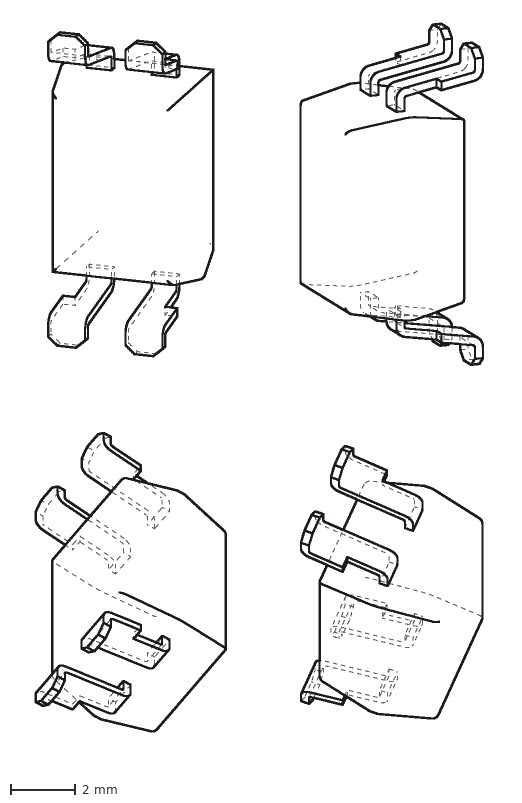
import cadquery as cq
import math

housing_width = 4.6
housing_height = 6.5
band_thickness = 0.27
half_depth = 1.86
draft_angle = 10.0
face_edge_radius = 0.2

overall_height = 10.16
lead_thickness = band_thickness
foot_drop = 2.47
foot_straight = 0.63
bend_inner_radius = 0.08
arm_angle = math.radians(10.0)
lead_spacing = 2.54
foot_width = 1.22
neck_width = 0.82
wide_start_y = -1.21
tip_chamfer_width = 0.3
tip_chamfer_height = 0.26

bend_outer_radius = bend_inner_radius + lead_thickness
neck_back_y = lead_thickness / 2
neck_front_y = -lead_thickness / 2
foot_front_y = neck_front_y - foot_drop
foot_back_y = foot_front_y + lead_thickness
foot_tip_z = overall_height / 2
foot_inner_x = (lead_spacing - foot_width) / 2
foot_outer_x = foot_inner_x + foot_width
neck_outer_x = foot_inner_x + neck_width

foot_bend_y = foot_back_y + bend_inner_radius
foot_bend_z = foot_tip_z - foot_straight
neck_bend_y = neck_front_y - bend_inner_radius
bend_span_y = neck_bend_y - foot_bend_y
bend_radius_sum = bend_inner_radius + bend_outer_radius
neck_bend_z = foot_bend_z - (bend_radius_sum + bend_span_y * math.sin(arm_angle)) / math.cos(arm_angle)


def make_housing():
    body = cq.Workplane("XY").box(housing_width, band_thickness, housing_height)
    for side in (1, -1):
        half = (
            cq.Workplane("XZ", origin=(0, side * band_thickness / 2, 0))
            .rect(housing_width, housing_height)
            .extrude(-side * half_depth, taper=draft_angle)
        )
        body = body.union(half)
    return body.faces("<Y or >Y").edges().fillet(face_edge_radius)


def foot_bend_point(radius, angle):
    """Point (y, z) on the foot bend, with the angle measured from -Y towards -Z."""
    return (foot_bend_y - radius * math.cos(angle), foot_bend_z - radius * math.sin(angle))


def neck_bend_point(radius, angle):
    """Point (y, z) on the neck bend, with the angle measured from +Y towards +Z."""
    return (neck_bend_y + radius * math.cos(angle), neck_bend_z + radius * math.sin(angle))


def make_bent_strip():
    """Full-width strip bent from the neck, along the arm, to the foot."""
    bend_end = math.pi / 2 - arm_angle
    bend_middle = bend_end / 2
    neck_base_z = housing_height / 2
    return (
        cq.Workplane("YZ", origin=(foot_inner_x, 0, 0))
        .moveTo(neck_back_y, neck_base_z)
        .lineTo(*neck_bend_point(bend_outer_radius, 0))
        .threePointArc(
            neck_bend_point(bend_outer_radius, bend_middle),
            neck_bend_point(bend_outer_radius, bend_end),
        )
        .lineTo(*foot_bend_point(bend_inner_radius, bend_end))
        .threePointArc(
            foot_bend_point(bend_inner_radius, bend_middle),
            foot_bend_point(bend_inner_radius, 0),
        )
        .lineTo(foot_back_y, foot_tip_z)
        .lineTo(foot_front_y, foot_tip_z)
        .lineTo(*foot_bend_point(bend_outer_radius, 0))
        .threePointArc(
            foot_bend_point(bend_outer_radius, bend_middle),
            foot_bend_point(bend_outer_radius, bend_end),
        )
        .lineTo(*neck_bend_point(bend_inner_radius, bend_end))
        .threePointArc(
            neck_bend_point(bend_inner_radius, bend_middle),
            neck_bend_point(bend_inner_radius, 0),
        )
        .lineTo(neck_front_y, neck_base_z)
        .close()
        .extrude(foot_width)
    )


def make_neck_notch():
    """Block that narrows the outer side of the lead between the neck and the wide part."""
    return cq.Workplane("XY").box(
        foot_outer_x - neck_outer_x,
        neck_back_y - wide_start_y,
        foot_tip_z,
        centered=False,
    ).translate((neck_outer_x, wide_start_y, 0))


def make_tip_corner(corner_x, inward):
    """Triangular prism that cuts one corner off the foot tip."""
    return (
        cq.Workplane("XZ", origin=(0, foot_back_y, 0))
        .moveTo(corner_x, foot_tip_z)
        .lineTo(corner_x + inward * tip_chamfer_width, foot_tip_z)
        .lineTo(corner_x, foot_tip_z - tip_chamfer_height)
        .close()
        .extrude(lead_thickness)
    )


def make_lead(side_x, side_z):
    """Lead on the given side (+1 or -1) of the housing in X and in Z."""
    lead = (
        make_bent_strip()
        .cut(make_neck_notch())
        .cut(make_tip_corner(foot_inner_x, 1))
        .cut(make_tip_corner(foot_outer_x, -1))
    )
    if side_x < 0:
        lead = lead.mirror("YZ")
    if side_z < 0:
        lead = lead.mirror("XY")
    return lead


housing = make_housing()
leads = [make_lead(side_x, side_z) for side_x in (-1, 1) for side_z in (-1, 1)]

result = cq.Compound.makeCompound([housing.val(), *[lead.val() for lead in leads]])